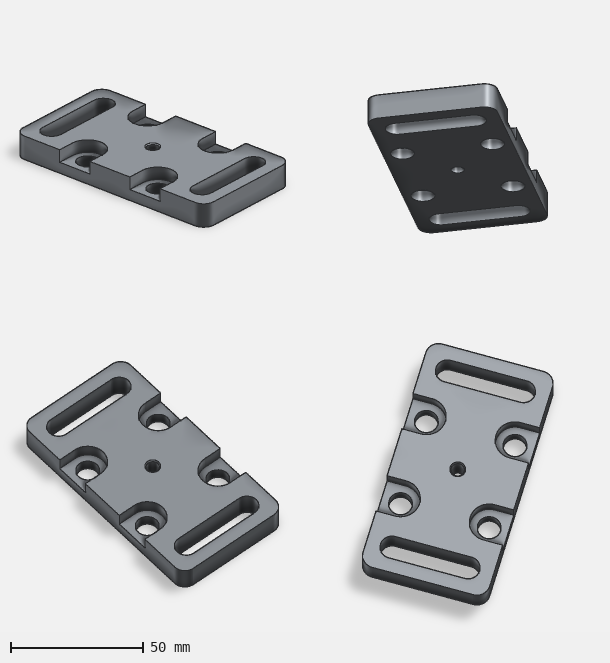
import cadquery as cq

length = 95.0
width = 50.0
thickness = 10.0
corner_radius = 5.0

hole_spacing = 35.0
hole_diameter = 9.0
pocket_width = 15.0
pocket_depth = 5.3

slot_spacing = 75.0
slot_length = 39.0
slot_width = 9.0

center_hole_diameter = 5.0
center_mouth_diameter = 6.0

top = thickness / 2


def make_plate():
    plate = cq.Workplane("XY").box(length, width, thickness)
    return plate.edges("|Z").fillet(corner_radius)


def make_pocket(x, side):
    """Round-ended pocket at the given X; side is +1 or -1 for the long side it opens to."""
    hole_y = side * hole_spacing / 2
    edge_y = side * width / 2
    floor = cq.Workplane("XY", origin=(0, 0, top - pocket_depth))
    round_end = floor.center(x, hole_y).circle(pocket_width / 2).extrude(pocket_depth)
    run_out = (
        floor.center(x, (hole_y + edge_y) / 2)
        .rect(pocket_width, abs(edge_y - hole_y))
        .extrude(pocket_depth)
    )
    return round_end.union(run_out)


result = make_plate()

for x in (-hole_spacing / 2, hole_spacing / 2):
    for side in (-1, 1):
        result = result.cut(make_pocket(x, side))

top_plane = cq.Workplane("XY", origin=(0, 0, top))

screw_holes = (
    top_plane.rect(hole_spacing, hole_spacing, forConstruction=True)
    .vertices()
    .circle(hole_diameter / 2)
    .extrude(-thickness)
)

slots = (
    top_plane.pushPoints([(-slot_spacing / 2, 0), (slot_spacing / 2, 0)])
    .slot2D(slot_length, slot_width, 90)
    .extrude(-thickness)
)

countersink_depth = (center_mouth_diameter - center_hole_diameter) / 2
center_hole = top_plane.circle(center_hole_diameter / 2).extrude(-thickness)
countersink = cq.Workplane(
    cq.Solid.makeCone(
        center_hole_diameter / 2,
        center_mouth_diameter / 2,
        countersink_depth,
        pnt=cq.Vector(0, 0, top - countersink_depth),
    )
)

result = result.cut(screw_holes).cut(slots).cut(center_hole).cut(countersink)